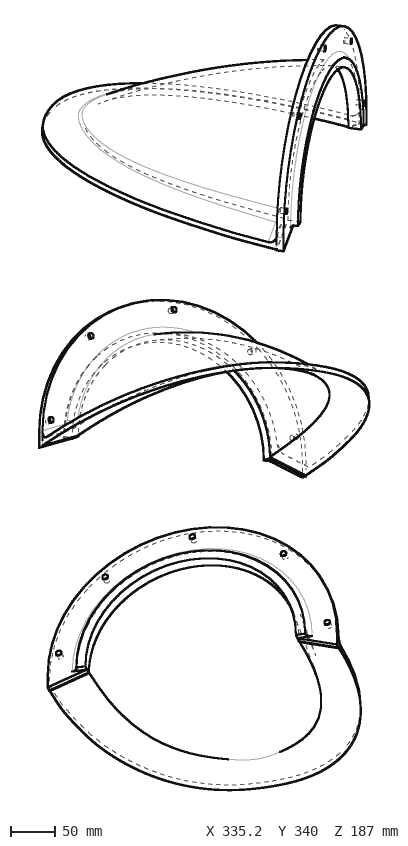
import cadquery as cq
import math

plate_radius = 170.0
plate_thickness = 8.0
plate_drop = 17.0

scoop_radius = 130.5
wall = 6.8
crown_radius = 799.0
scoop_sweep = 60.0
crown_angle = 6.7

nose_length = 319.5
base_tilt = 8.0
base_height = -9.2
rim_slope = 19.6
rim_width = 47.5
rim_overhang = 27.2
outline_power = 2.25
outline_steps = 16
outline_tail = 17.0

lip_radius = 134.5
lip_length = 6.8
lip_fillet = 6.5

foot_fillet = 15.3
neck_fillet = 9.0

hole_diameter = 6.5
hole_circle_radius = 159.5
hole_angles = (-80.0, -40.0, 0.0, 42.3, 84.5)

inner_radius = scoop_radius - wall
slope_tan = math.tan(math.radians(rim_slope))
opening_corner_z = -plate_drop + (plate_radius - inner_radius) * slope_tan
block_size = 1020.0
match_tolerance = 0.05
trim_depth = 8.5


def base_plane(drop):
    """Tilted base plane, lowered along its normal by drop."""
    tilt = math.radians(base_tilt)
    normal = (math.sin(tilt), 0, math.cos(tilt))
    origin = (-drop * normal[0], 0, base_height - drop * normal[2])
    return cq.Plane(origin=origin, xDir=(normal[2], 0, -normal[0]), normal=normal)


def rim_outline(plane, inset):
    """Rounded nose outline (superellipse) running straight on past the plate face."""
    length = nose_length / math.cos(math.radians(base_tilt)) - inset
    half_width = plate_radius - inset
    points = []
    for step in range(outline_steps + 1):
        turn = math.pi * step / outline_steps
        along = math.sin(turn) ** (2 / outline_power)
        across = math.copysign(abs(math.cos(turn)) ** (2 / outline_power), math.cos(turn))
        points.append((-length * along, half_width * across))
    return (
        cq.Workplane(plane)
        .moveTo(outline_tail, half_width)
        .lineTo(0, half_width)
        .spline(points[1:], tangents=[(-1, 0), (1, 0)], includeCurrent=True)
        .lineTo(outline_tail, -half_width)
        .close()
    )


def rim_mound(drop):
    """Tapered mound whose side is the sloping flange face, oversize for later trimming."""
    foot = rim_outline(base_plane(drop + rim_overhang * slope_tan), -rim_overhang).val()
    top = rim_outline(base_plane(drop - rim_width * slope_tan), rim_width).val()
    return cq.Workplane(cq.Solid.makeLoft([foot, top], True))


def scoop_body(radius):
    """Round section of the given radius swept along the crown arc."""
    angle = math.radians(crown_angle)
    sweep_radius = crown_radius - scoop_radius
    axis_x = crown_radius * math.sin(angle)
    axis_z = scoop_radius - crown_radius * math.cos(angle)
    return (
        cq.Workplane("YZ", origin=(axis_x, 0, axis_z))
        .center(0, sweep_radius)
        .circle(radius)
        .revolve(scoop_sweep, (0, -sweep_radius, 0), (-1, -sweep_radius, 0))
    )


def above_base(drop):
    """Everything above the lowered base plane and in front of the plate."""
    upper = (
        cq.Workplane(base_plane(drop))
        .box(block_size, block_size, block_size, centered=(True, True, False))
    )
    front = cq.Workplane("XY").box(block_size, block_size, block_size).translate((-block_size / 2, 0, 0))
    return upper.intersect(front)


def hood_solid(radius, drop):
    """Scoop and rim together, still filled."""
    return rim_mound(drop).union(scoop_body(radius)).intersect(above_base(drop + trim_depth))


def plate():
    """Round-topped plate with sloping lower edges that follow the rim."""
    return (
        cq.Workplane("YZ")
        .moveTo(-inner_radius, opening_corner_z)
        .lineTo(-plate_radius, -plate_drop)
        .lineTo(-plate_radius, 0)
        .threePointArc((0, plate_radius), (plate_radius, 0))
        .lineTo(plate_radius, -plate_drop)
        .lineTo(inner_radius, opening_corner_z)
        .close()
        .extrude(plate_thickness)
    )


def half_disc(radius, start, length):
    """Upper part of a round disc, flat along the lower side of the opening."""
    disc = cq.Workplane("YZ", origin=(start, 0, 0)).circle(radius).extrude(length)
    keep = (
        cq.Workplane("XY", origin=(0, 0, opening_corner_z))
        .box(block_size, block_size, block_size, centered=(True, True, False))
    )
    return disc.intersect(keep)


def lies_at_x(edge, x):
    """True for an edge lying in the plane at the given X."""
    box = edge.BoundingBox()
    return max(abs(box.xmin - x), abs(box.xmax - x)) < match_tolerance


def outer_body():
    """Filled hood joined to the plate, rounded in its corners and trimmed to the outlines."""
    hood = hood_solid(scoop_radius, 0)
    limit = scoop_radius + match_tolerance
    foot_box = cq.selectors.BoxSelector(
        (-nose_length, -limit, 0), (match_tolerance, limit, scoop_radius / 2), boundingbox=True
    )
    hood = hood.edges(foot_box).fillet(foot_fillet)
    backing = cq.Workplane("YZ").rect(block_size, block_size).extrude(plate_thickness)
    body = hood.union(backing)
    corners = [edge for edge in body.edges("%BSPLINE").vals() if lies_at_x(edge, 0)]
    body = body.newObject(corners).fillet(neck_fillet)
    outline = rim_outline(base_plane(wall), 0).extrude(plate_radius + wall).intersect(above_base(wall))
    return body.intersect(outline).union(body.intersect(plate()))


def lip():
    """Round lip behind the plate, flared where it meets the plate."""
    base = plate().union(half_disc(lip_radius, plate_thickness, lip_length))
    corners = [
        edge for edge in base.edges("%CIRCLE").vals()
        if lies_at_x(edge, plate_thickness) and edge.BoundingBox().ymax < plate_radius - match_tolerance
    ]
    return base.newObject(corners).fillet(lip_fillet)


def cavity():
    """Hollow under the rim and scoop, open through the plate and lip."""
    opening = half_disc(inner_radius, 0, plate_thickness + lip_length)
    return hood_solid(inner_radius, wall).union(opening)


def mounting_holes():
    """Plain holes through the plate at uneven spacing around its arc."""
    places = []
    for angle in hole_angles:
        turn = math.radians(angle)
        places.append((hole_circle_radius * math.sin(turn), hole_circle_radius * math.cos(turn)))
    return cq.Workplane("YZ").pushPoints(places).circle(hole_diameter / 2).extrude(plate_thickness)


result = outer_body().union(lip()).cut(cavity()).cut(mounting_holes())